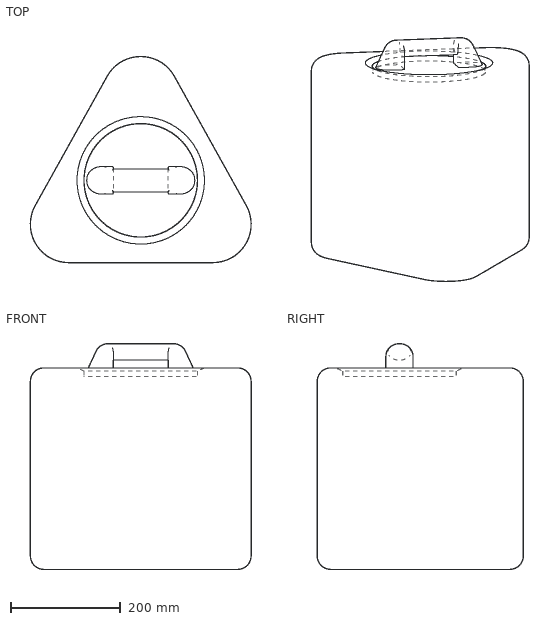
import cadquery as cq
import math

corner_radius = 70.0
base_corner_spacing = 262.06
corner_depth = 235.43
housing_front = -149.9
housing_height = 367.0
housing_edge_radius = 25.0

dish_diameter = 232.0
dish_depth = 6.0
lid_diameter = 206.0
lid_gap = 0.5
lid_thickness = 10.0

handle_height = 50.0
handle_width = 50.0
handle_base_length = 196.5
handle_top_length = 150.0
handle_edge_radius = 24.0
window_length = 100.0
window_edge_radius = 2.0
grip_thickness = 30.0
grip_side_radius = 12.0

lid_top = housing_height - dish_depth
lid_bottom = lid_top - lid_thickness
lid_hole_diameter = lid_diameter + 2 * lid_gap
handle_top = lid_top + handle_height


def make_housing():
    """Triangular block with round corners and edges, and a stepped recess for the lid."""
    base_corner_x = base_corner_spacing / 2
    base_corner_y = housing_front + corner_radius
    rear_corner_y = base_corner_y + corner_depth
    block = (
        cq.Workplane("XY")
        .polyline([(-base_corner_x, base_corner_y), (base_corner_x, base_corner_y), (0, rear_corner_y)])
        .close()
        .offset2D(corner_radius)
        .extrude(housing_height)
        .faces("<Z or >Z")
        .edges()
        .fillet(housing_edge_radius)
    )
    dish = (
        cq.Workplane("XY", origin=(0, 0, lid_top))
        .circle(lid_hole_diameter / 2)
        .workplane(offset=dish_depth)
        .circle(dish_diameter / 2)
        .loft()
    )
    lid_hole = (
        cq.Workplane("XY", origin=(0, 0, lid_bottom))
        .circle(lid_hole_diameter / 2)
        .extrude(lid_thickness)
    )
    return block.cut(dish).cut(lid_hole)


def make_lid():
    """Flat disc lying on the floor of the recess."""
    return cq.Workplane("XY", origin=(0, 0, lid_bottom)).circle(lid_diameter / 2).extrude(lid_thickness)


def make_handle_blank():
    """Trapezoidal block with its top and its sloping ends rounded."""
    half_base = handle_base_length / 2
    half_top = handle_top_length / 2
    return (
        cq.Workplane("XZ", origin=(0, handle_width / 2, 0))
        .polyline([(-half_base, lid_top), (half_base, lid_top), (half_top, handle_top), (-half_top, handle_top)])
        .close()
        .extrude(handle_width)
        .edges("not <Z")
        .fillet(handle_edge_radius)
    )


def make_grip():
    """Bar with a lens section: shallow arcs above and below, with rounded front and rear edges."""
    arc_center_y = handle_width / 2 - handle_edge_radius
    arc_center_rise = handle_edge_radius - grip_thickness / 2
    side_center_distance = handle_edge_radius - grip_side_radius
    side_center_y = arc_center_y + math.sqrt(side_center_distance**2 - arc_center_rise**2)
    side_y = side_center_y + grip_side_radius

    join_y = arc_center_y + (side_center_y - arc_center_y) * handle_edge_radius / side_center_distance
    join_z = arc_center_rise * handle_edge_radius / side_center_distance - arc_center_rise

    half_angle = math.atan2(join_y - arc_center_y, join_z + arc_center_rise) / 2
    middle_y = arc_center_y + handle_edge_radius * math.sin(half_angle)
    middle_z = handle_edge_radius * math.cos(half_angle) - arc_center_rise
    top_z = grip_thickness / 2

    grip_length = window_length + 2 * window_edge_radius
    return (
        cq.Workplane("YZ", origin=(-grip_length / 2, 0, handle_top - grip_thickness / 2))
        .moveTo(-arc_center_y, top_z)
        .lineTo(arc_center_y, top_z)
        .threePointArc((middle_y, middle_z), (join_y, join_z))
        .threePointArc((side_y, 0), (join_y, -join_z))
        .threePointArc((middle_y, -middle_z), (arc_center_y, -top_z))
        .lineTo(-arc_center_y, -top_z)
        .threePointArc((-middle_y, -middle_z), (-join_y, -join_z))
        .threePointArc((-side_y, 0), (-join_y, join_z))
        .threePointArc((-middle_y, middle_z), (-arc_center_y, top_z))
        .close()
        .extrude(grip_length)
    )


def make_handle():
    """Two posts with their inner edges rounded, joined by the grip that fills the rounding at its ends."""
    window = (
        cq.Workplane("XY", origin=(0, 0, lid_top))
        .rect(window_length, handle_width)
        .extrude(handle_height)
    )
    half_span = window_length / 2 + window_edge_radius
    inner_edges = cq.selectors.BoxSelector(
        (-half_span, -handle_width, lid_top + window_edge_radius),
        (half_span, handle_width, handle_top + window_edge_radius),
    )
    posts = make_handle_blank().cut(window).edges(inner_edges).fillet(window_edge_radius)
    return posts.union(make_grip())


housing = make_housing()
lid = make_lid()
handle = make_handle()

result = cq.Compound.makeCompound([housing.val(), lid.val(), handle.val()])